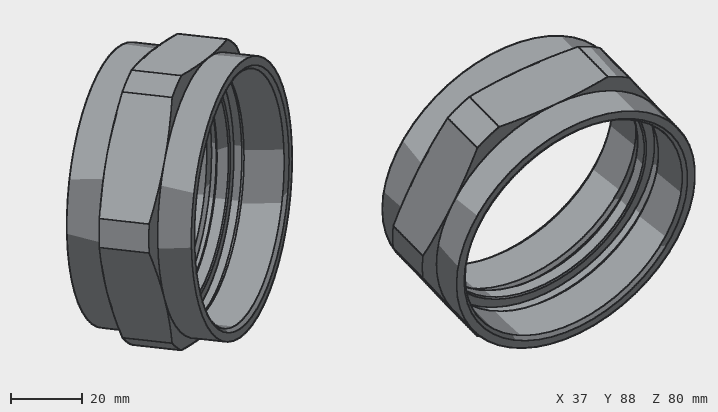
import cadquery as cq
import math

length = 37.0
across_flats = 80.0
corner_diameter = 88.0
sleeve_radius = across_flats / 2

collar_width = 17.1
collar_cone_angle = 16.0

bore_radius = 36.4
relief_radius = 37.5
mouth_chamfer = relief_radius - bore_radius
relief_width = 3.4
relief_taper = 1.05
rib_radius = 34.3
rib_chamfer = 0.4
rib_width = 4.2


def revolve_about_x(points):
    """Revolve a closed outline of (x, radius) points about the X axis."""
    return cq.Workplane("XY").polyline(points).close().revolve(360, (0, 0, 0), (1, 0, 0))


def make_collar():
    """Hexagon with corners along Y, rounded and tapered at its corners."""
    hexagon = (
        cq.Workplane("YZ")
        .polygon(6, across_flats / math.cos(math.pi / 6))
        .extrude(collar_width / 2, both=True)
    )
    corner_radius = corner_diameter / 2
    half_width = collar_width / 2
    cone_run = (corner_radius - sleeve_radius) * math.tan(math.radians(collar_cone_angle))
    envelope = revolve_about_x([
        (-half_width, 0),
        (-half_width, sleeve_radius),
        (-half_width + cone_run, corner_radius),
        (half_width - cone_run, corner_radius),
        (half_width, sleeve_radius),
        (half_width, 0),
    ])
    return hexagon.intersect(envelope)


def make_bore():
    """Chamfered mouths, relief grooves and a narrow central rib."""
    half_length = length / 2
    half_rib = rib_width / 2
    relief_end = half_rib + relief_width
    right_half = [
        (half_rib - rib_chamfer, rib_radius),
        (half_rib, rib_radius + rib_chamfer),
        (half_rib, relief_radius),
        (relief_end - relief_taper, relief_radius),
        (relief_end, bore_radius),
        (half_length - mouth_chamfer, bore_radius),
        (half_length, relief_radius),
        (half_length, 0),
    ]
    left_half = [(-x, radius) for x, radius in reversed(right_half)]
    return revolve_about_x(left_half + right_half)


sleeve = cq.Workplane("YZ").circle(sleeve_radius).extrude(length / 2, both=True)
result = sleeve.union(make_collar()).cut(make_bore())